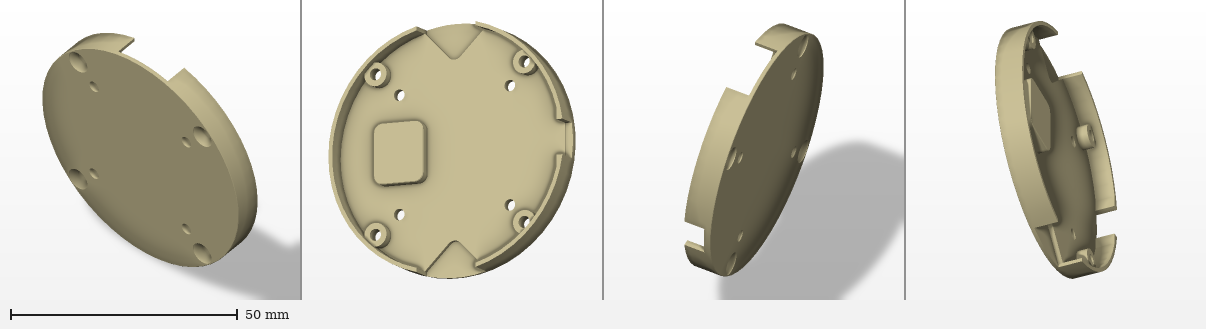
import cadquery as cq
import math

outer_radius = 28.5
height = 6.5
rim_thickness = 0.9
plate_thickness = 2.0
outer_edge_chamfer = 0.1

cable_notch_width = 14.35
cable_notch_floor = 0.9
recess_corner_radius = 2.0

connector_notch_width = 8.0
connector_notch_floor = 1.6
connector_wall_x = -26.75

block_start_x = 6.5
block_length = 11.95
block_width = 13.7
block_top = 4.5
block_corner_radius = 2.0
block_chamfer = 0.15

screw_offset = 18.0
screw_diameter = 2.7
screw_head_diameter = 5.35
screw_head_lip = 0.2
countersink_angle = 90.0
boss_diameter = 5.35
boss_top = block_top

pin_hole_offset = 13.4
pin_hole_diameter = 2.55
pin_hole_chamfer = 0.1


def cylinder(radius, bottom, top, x=0.0, z=0.0):
    """Cylinder along +Y between two heights."""
    solid = cq.Solid.makeCylinder(radius, top - bottom, cq.Vector(x, bottom, z), cq.Vector(0, 1, 0))
    return cq.Workplane(obj=solid)


def cone(bottom_radius, top_radius, bottom, top, x, z):
    """Cone along +Y between two heights."""
    base = cq.Vector(x, bottom, z)
    solid = cq.Solid.makeCone(bottom_radius, top_radius, top - bottom, base, cq.Vector(0, 1, 0))
    return cq.Workplane(obj=solid)


def box(start_x, end_x, width, bottom, top):
    """Box between two X positions and two heights, centred on Z = 0."""
    centre = ((start_x + end_x) / 2, (bottom + top) / 2, 0)
    return cq.Workplane("XY").box(end_x - start_x, top - bottom, width).translate(centre)


def corner_points(offset):
    """Corners of a square centred on the disc axis."""
    return [(x, z) for x in (-offset, offset) for z in (-offset, offset)]


def cover_shell():
    """Disc with its raised rim, flat inside at the connector."""
    disc = cylinder(outer_radius, 0, height).faces("<Y").edges().chamfer(outer_edge_chamfer)
    cavity = cylinder(outer_radius - rim_thickness, plate_thickness, height)
    beyond_flat = box(-outer_radius, connector_wall_x, 2 * outer_radius, plate_thickness, height)
    return disc.cut(cavity.cut(beyond_flat))


def cable_exit(side):
    """Cutter for the rim notch and V recess at the +Z (side = 1) or -Z (side = -1) end."""
    half_width = cable_notch_width / 2
    v_mouth = math.sqrt(outer_radius**2 - half_width**2) - rim_thickness
    v_tip = v_mouth - half_width
    outline = [
        (0, side * v_tip),
        (half_width, side * v_mouth),
        (half_width, side * outer_radius),
        (-half_width, side * outer_radius),
        (-half_width, side * v_mouth),
    ]
    floor_plane = cq.Workplane("XZ", origin=(0, cable_notch_floor, 0))
    cutter = floor_plane.polyline(outline).close().extrude(cable_notch_floor - height)
    at_tip = cq.selectors.NearestToPointSelector((0, (cable_notch_floor + height) / 2, side * v_tip))
    return cutter.edges("|Y").edges(at_tip).fillet(recess_corner_radius)


def connector_notch():
    """Cutter for the opening through the -X side of the rim."""
    return box(-outer_radius, connector_wall_x, connector_notch_width, connector_notch_floor, height)


def raised_block():
    end_x = block_start_x + block_length
    block = box(block_start_x, end_x, block_width, plate_thickness, block_top)
    return block.edges("|Y").fillet(block_corner_radius).faces(">Y").edges().chamfer(block_chamfer)


def screw_hole(x, z):
    """Cutter for a through hole with a conical head seat below a short straight lip."""
    hole_radius = screw_diameter / 2
    head_radius = screw_head_diameter / 2
    seat_depth = (head_radius - hole_radius) / math.tan(math.radians(countersink_angle / 2))
    lip = cylinder(head_radius, 0, screw_head_lip, x, z)
    seat = cone(head_radius, hole_radius, screw_head_lip, screw_head_lip + seat_depth, x, z)
    return cylinder(hole_radius, 0, height, x, z).union(seat).union(lip)


def pin_hole(x, z):
    """Cutter for a through hole with a chamfered mouth."""
    radius = pin_hole_diameter / 2
    mouth = cone(radius + pin_hole_chamfer, radius, 0, pin_hole_chamfer, x, z)
    return cylinder(radius, 0, height, x, z).union(mouth)


result = cover_shell()
for end in (1, -1):
    result = result.cut(cable_exit(end))
result = result.cut(connector_notch()).union(raised_block())

for x, z in corner_points(screw_offset):
    result = result.union(cylinder(boss_diameter / 2, plate_thickness, boss_top, x, z))
    result = result.cut(screw_hole(x, z))
for x, z in corner_points(pin_hole_offset):
    result = result.cut(pin_hole(x, z))